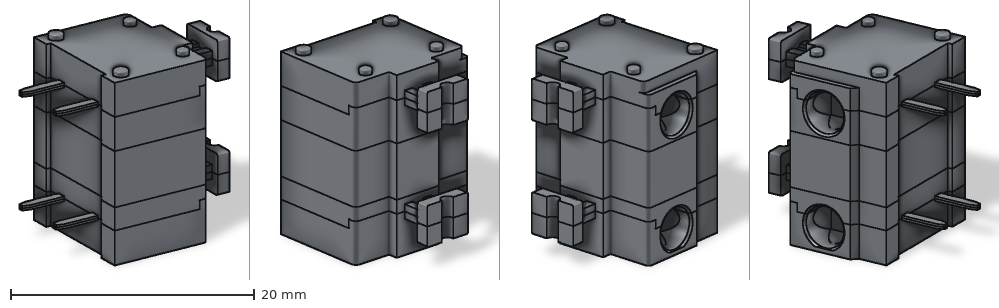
import cadquery as cq


width = 12.5
panel_depth = 0.53
panel_bottom = 2.67
shoulder = 9.26
shoulder_radius = 0.5
panel_corner_radius = 0.4
neck_left = 4.17
neck_right = 8.8
neck_top = 10.2
neck_fillet = 0.15
foot_height = 0.43
left_foot_end = 2.4
right_foot_start = 10.55

lower_pole_height = 5.16
spacer_height = 5.0
pole_pitch = 10.1
total_height = 16.24
panel_top = 15.21
lower_seam = 3.1
seam_step = 0.8
seam_step_y = 8.4

pin_centres = (4.0, 9.0)
pin_width = 0.84
pin_tip_width = 0.45
pin_thickness = 0.42
pin_end = -3.6
pin_taper = 0.7

button_top = 13.9
head_left = 4.22
head_width = 4.52
head_thickness = 1.2
head_height = 3.7
head_fillet = 0.2
notch_diameter = 1.25
stem_left = 5.03
stem_width = 2.9
stem_height = 1.3
groove_left = 5.95
groove_width = 1.12
groove_depth = 0.3

entry_y = 5.78
entry_z = 2.26
entry_radius = 1.85
entry_chamfer = 0.2
entry_depth = 2.95
lower_entry_floor = 0.4
end_half_width = 1.19
end_top = 0.59
end_bottom = -1.39
side_slope = 0.39
top_slope = 0.64
bottom_slope = 0.29

peg_height = 0.5
peg_rounding = 0.125
small_peg_diameter = 1.1
small_peg_centres = [(2.61, 8.14), (10.4, 8.14)]
large_peg_diameter = 1.3
large_peg_centres = [(1.69, 1.43), (11.28, 1.43)]

reach = 50.0


def box(x, y, z):
    """Box spanning three (low, high) pairs."""
    size = [high - low for low, high in (x, y, z)]
    return cq.Workplane("XY").box(*size, centered=False).translate((x[0], y[0], z[0]))


def outline_prism(bottom, top):
    """Housing cross-section without the panel, between two levels."""
    prism = (
        cq.Workplane("XY", origin=(0, 0, bottom))
        .moveTo(panel_depth, 0)
        .lineTo(left_foot_end, 0)
        .lineTo(left_foot_end, foot_height)
        .lineTo(right_foot_start, foot_height)
        .lineTo(right_foot_start, 0)
        .lineTo(width, 0)
        .lineTo(width, shoulder)
        .lineTo(neck_right, shoulder)
        .lineTo(neck_right, neck_top)
        .lineTo(neck_left, neck_top)
        .lineTo(neck_left, shoulder)
        .lineTo(panel_depth, shoulder)
        .close()
        .extrude(top - bottom)
    )
    mid_level = (bottom + top) / 2
    for x in (panel_depth, width):
        corner = cq.selectors.NearestToPointSelector((x, shoulder, mid_level))
        prism = prism.edges(corner).fillet(shoulder_radius)
    for x in (neck_left, neck_right):
        corner = cq.selectors.NearestToPointSelector((x, shoulder, mid_level))
        prism = prism.edges(corner).fillet(neck_fillet)
    return prism


def panel(bottom, top):
    """Wire-entry panel on the -X wall, bevelled at its lower end."""
    inner = panel_depth + shoulder_radius
    return (
        cq.Workplane("XY", origin=(0, 0, bottom))
        .moveTo(inner, shoulder)
        .lineTo(panel_corner_radius, shoulder)
        .radiusArc((0, shoulder - panel_corner_radius), -panel_corner_radius)
        .lineTo(0, panel_bottom + panel_depth)
        .lineTo(panel_depth, panel_bottom)
        .lineTo(inner, panel_bottom)
        .close()
        .extrude(top - bottom)
    )


def housing(bottom, top):
    """Solid housing length with the panel, which stops at panel_top."""
    return outline_prism(bottom, top).union(panel(bottom, min(top, panel_top)))


def wire_entry(bottom):
    """Volume of the wire entry of the pole whose underside is at the given level."""
    axis_z = bottom + entry_z
    mouth = cq.Workplane("YZ", origin=(0, entry_y, axis_z))
    bore = mouth.circle(entry_radius).extrude(entry_depth)
    half_width = end_half_width + side_slope * entry_depth
    mouth_top = end_top + top_slope * entry_depth
    mouth_bottom = end_bottom - bottom_slope * entry_depth
    funnel = (
        mouth.polyline([
            (-half_width, mouth_bottom),
            (half_width, mouth_bottom),
            (half_width, mouth_top),
            (-half_width, mouth_top),
        ]).close()
        .workplane(offset=entry_depth)
        .polyline([
            (-end_half_width, end_bottom),
            (end_half_width, end_bottom),
            (end_half_width, end_top),
            (-end_half_width, end_top),
        ]).close()
        .loft(ruled=True)
    )
    chamfer = cq.Workplane("XY").add(
        cq.Solid.makeCone(
            entry_radius + entry_chamfer, entry_radius, entry_chamfer,
            pnt=cq.Vector(0, entry_y, axis_z), dir=cq.Vector(1, 0, 0),
        )
    )
    allowed = box((0, reach), (0, reach), (lower_entry_floor, reach))
    return bore.intersect(funnel).union(chamfer).intersect(allowed)


def pin(centre_x, centre_z):
    """Flat solder pin with a tapered tip."""
    taper_start = pin_end + pin_taper
    return (
        cq.Workplane("XY", origin=(centre_x, 0, centre_z - pin_thickness / 2))
        .polyline([
            (-pin_width / 2, foot_height),
            (-pin_width / 2, taper_start),
            (-pin_tip_width / 2, pin_end),
            (pin_tip_width / 2, pin_end),
            (pin_width / 2, taper_start),
            (pin_width / 2, foot_height),
        ]).close()
        .extrude(pin_thickness)
    )


def button(centre_z):
    """Push button: notched head on a grooved stem that rises from the neck."""
    head_bottom = button_top - head_thickness
    head_base = centre_z - head_height / 2
    head = box(
        (head_left, head_left + head_width),
        (head_bottom, button_top),
        (head_base, head_base + head_height),
    ).edges("|Y").fillet(head_fillet)
    notch = (
        cq.Workplane("XY", origin=(head_left + head_width / 2, button_top, head_base))
        .circle(notch_diameter / 2)
        .extrude(head_height)
    )
    stem_top = centre_z + stem_height / 2
    stem = box(
        (stem_left, stem_left + stem_width),
        (neck_top, head_bottom),
        (stem_top - stem_height, stem_top),
    )
    groove = box(
        (groove_left, groove_left + groove_width),
        (neck_top, head_bottom),
        (stem_top - groove_depth, stem_top),
    )
    return head.cut(notch).union(stem.cut(groove))


def below_seam(seam):
    """Region under the stepped parting surface of a pole."""
    return (
        cq.Workplane("YZ", origin=(-reach, 0, 0))
        .moveTo(-reach, -reach)
        .lineTo(reach, -reach)
        .lineTo(reach, seam + seam_step)
        .lineTo(seam_step_y, seam + seam_step)
        .lineTo(seam_step_y, seam)
        .lineTo(-reach, seam)
        .close()
        .extrude(2 * reach)
    )


def pole(bottom, top, seam):
    """One pole, parted into its base and its cover; each carries half of the button and pins."""
    whole = housing(bottom, top).cut(wire_entry(bottom)).union(button(seam + seam_step))
    for centre_x in pin_centres:
        whole = whole.union(pin(centre_x, seam))
    lower_region = below_seam(seam)
    return whole.intersect(lower_region), whole.cut(lower_region)


def pegs(diameter, centres):
    """Locating pegs with rounded tips on the end face."""
    return (
        cq.Workplane("XY", origin=(0, 0, total_height))
        .pushPoints(centres)
        .circle(diameter / 2)
        .extrude(peg_height)
        .faces(">Z")
        .edges()
        .fillet(peg_rounding)
    )


spacer_top = lower_pole_height + spacer_height
lower_base, lower_cover = pole(0, lower_pole_height, lower_seam)
spacer = housing(lower_pole_height, spacer_top)
upper_base, upper_cover = pole(spacer_top, total_height, lower_seam + pole_pitch)
upper_cover = upper_cover.union(pegs(small_peg_diameter, small_peg_centres))
upper_cover = upper_cover.union(pegs(large_peg_diameter, large_peg_centres))

result = cq.Compound.makeCompound([
    lower_base.solids().val(),
    lower_cover.solids().val(),
    spacer.solids().val(),
    upper_base.solids().val(),
    upper_cover.solids().val(),
])